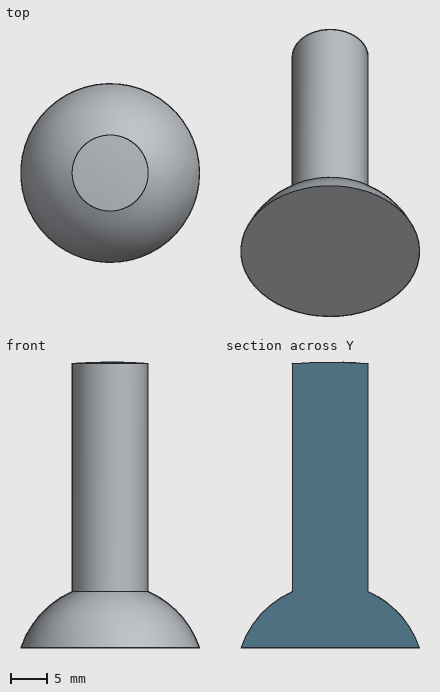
import cadquery as cq
import math

total_height = 39.5
head_diameter = 24.73
shaft_diameter = 10.5
head_sphere_radius = 13.05
crown_height = 0.2

head_radius = head_diameter / 2
shaft_radius = shaft_diameter / 2
shaft_top = total_height - crown_height

sphere_center_z = -math.sqrt(head_sphere_radius**2 - head_radius**2)


def height_on_sphere(radius):
    """Height of the head surface at a given distance from the axis."""
    return sphere_center_z + math.sqrt(head_sphere_radius**2 - radius**2)


head_top = height_on_sphere(shaft_radius)
head_mid_radius = (head_radius + shaft_radius) / 2

crown_sphere_radius = (shaft_radius**2 + crown_height**2) / (2 * crown_height)
crown_mid_radius = shaft_radius / 2
crown_mid_z = total_height - crown_sphere_radius + math.sqrt(crown_sphere_radius**2 - crown_mid_radius**2)

half_section = (
    cq.Workplane("XZ")
    .lineTo(head_radius, 0)
    .threePointArc((head_mid_radius, height_on_sphere(head_mid_radius)), (shaft_radius, head_top))
    .lineTo(shaft_radius, shaft_top)
    .threePointArc((crown_mid_radius, crown_mid_z), (0, total_height))
    .close()
)

result = half_section.revolve(360, (0, 0, 0), (0, 1, 0))